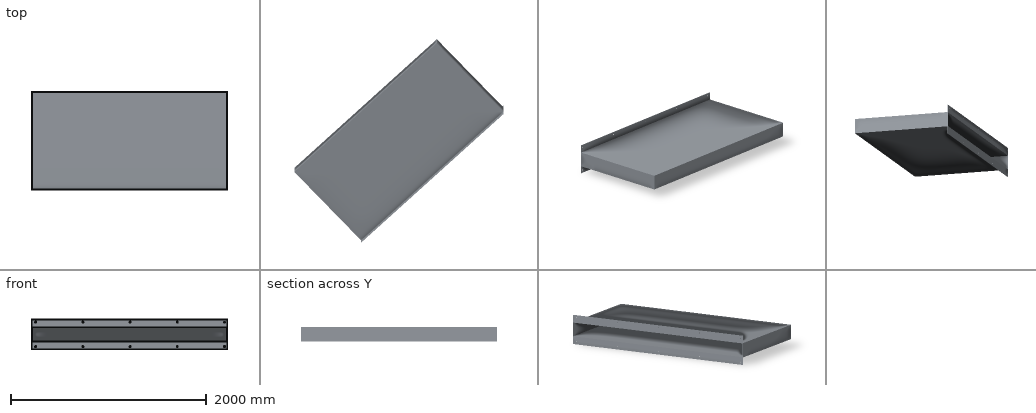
import cadquery as cq

width = 2000.0
depth = 1000.0
height = 305.0

sheet = 3.0
body_height = 150.0

hole_diameter = 9.0
first_hole_margin = 40.0
last_hole_margin = 28.0
hole_edge_margin = 28.0
holes_per_flange = 5

front_y = -depth / 2
flange_height = (height - body_height) / 2 + sheet


def make_box():
    """Thin box, open toward -Y."""
    outer = cq.Workplane("XY").box(width, depth, body_height)
    return outer.faces("<Y").shell(-sheet)


def make_flange(side):
    """Drilled strip along the front edge, above (side = 1) or below (side = -1)."""
    strip_z = side * (height - flange_height) / 2
    strip = cq.Workplane("XY").box(width, sheet, flange_height)
    strip = strip.translate((0, front_y + sheet / 2, strip_z))

    hole_z = side * (height / 2 - hole_edge_margin)
    hole_pitch = (width - first_hole_margin - last_hole_margin) / (holes_per_flange - 1)
    row_center_x = (first_hole_margin - last_hole_margin) / 2
    holes = (
        cq.Workplane("XZ", origin=(row_center_x, front_y, hole_z))
        .rarray(hole_pitch, 20, holes_per_flange, 1)
        .circle(hole_diameter / 2)
        .extrude(-sheet)
    )
    return strip.cut(holes)


result = make_box().union(make_flange(1)).union(make_flange(-1))